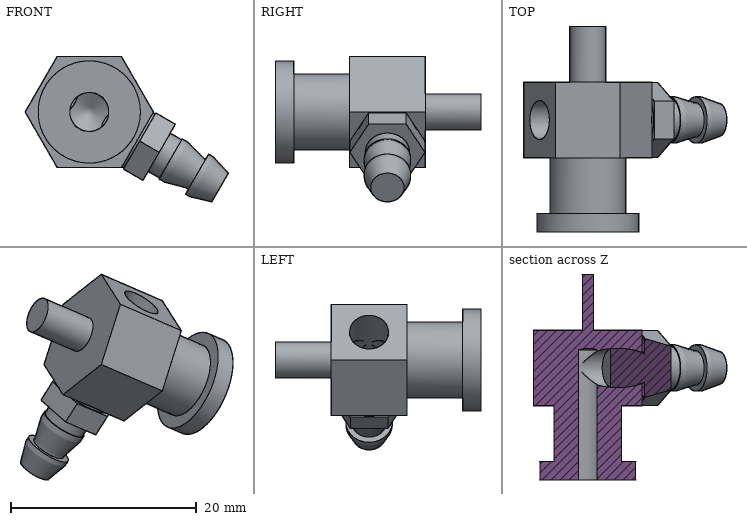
import cadquery as cq
import math

overall_length = 22.15
block_across_flats = 11.98
block_length = 8.17
neck_diameter = 8.2
neck_length = 5.98
flange_diameter = 11.0
flange_length = 2.0
stem_diameter = 3.9
stem_length = overall_length - flange_length - neck_length - block_length

hole_diameter = 4.19
bore_depth = 14.0
drill_point_angle = 118

fitting_angle = 30
seal_thickness = 0.27
seal_diameter = 6.73
stud_length = 3.0
fitting_across_flats = 7.0
fitting_hex_length = 2.44
shank_radius = 2.4
collar_radius = 2.5
waist_radius = 1.85
tip_radius = 1.8
shank_end = 4.12
collar_end = 4.83
cone_end = 7.2
barb_start = 7.4
barb_land_end = 8.0
fitting_end = 10.28

hole_radius = hole_diameter / 2
block_apothem = block_across_flats / 2
block_front = -block_length / 2
block_back = block_length / 2
neck_front = block_front - neck_length
flange_front = neck_front - flange_length


def across_corners(across_flats):
    return across_flats / math.cos(math.pi / 6)


def section_at(y):
    """Work plane whose normal is +Y, at the given Y."""
    return cq.Workplane(cq.Plane((0, y, 0), (1, 0, 0), (0, 1, 0)))


def cylinder_along_y(diameter, start, length):
    return section_at(start).circle(diameter / 2).extrude(length)


fitting_direction = cq.Vector(
    math.cos(math.radians(fitting_angle)), 0, -math.sin(math.radians(fitting_angle))
)


def fitting_section(distance):
    """Work plane across the fitting, at a distance outward from the block face."""
    origin = fitting_direction * (block_apothem + distance)
    return cq.Workplane(cq.Plane(origin, (0, 1, 0), fitting_direction))


def make_bore():
    """Blind bore from the flange, with a conical drill point."""
    point_length = hole_radius / math.tan(math.radians(drill_point_angle / 2))
    shoulder = flange_front + bore_depth
    profile = [
        (0, flange_front),
        (hole_radius, flange_front),
        (hole_radius, shoulder),
        (0, shoulder + point_length),
    ]
    return cq.Workplane("XY").polyline(profile).close().revolve(360, (0, 0), (0, 1))


def make_cross_hole():
    """Hole through two opposite flats, crossing the bore."""
    return fitting_section(0).circle(hole_radius).extrude(-block_across_flats)


def make_block():
    block = (
        section_at(block_front)
        .polygon(6, across_corners(block_across_flats))
        .extrude(block_length)
    )
    block = block.union(cylinder_along_y(neck_diameter, neck_front, neck_length))
    block = block.union(cylinder_along_y(flange_diameter, flange_front, flange_length))
    block = block.union(cylinder_along_y(stem_diameter, block_back, stem_length))
    return block.cut(make_bore()).cut(make_cross_hole())


def make_seal_ring():
    return (
        fitting_section(0)
        .circle(seal_diameter / 2)
        .circle(hole_radius)
        .extrude(seal_thickness)
    )


def make_fitting():
    """Stud, hexagon and two-stage hose barb."""
    hexagon = (
        fitting_section(seal_thickness)
        .polygon(6, across_corners(fitting_across_flats))
        .extrude(fitting_hex_length)
    )
    profile = [
        (0, -stud_length),
        (hole_radius, -stud_length),
        (hole_radius, seal_thickness),
        (shank_radius, seal_thickness),
        (shank_radius, shank_end),
        (collar_radius, shank_end),
        (collar_radius, collar_end),
        (waist_radius, cone_end),
        (waist_radius, barb_start),
        (collar_radius, barb_start),
        (collar_radius, barb_land_end),
        (tip_radius, fitting_end),
        (0, fitting_end),
    ]
    face_centre = fitting_direction * block_apothem
    profile_plane = cq.Plane(face_centre, (0, 1, 0), cq.Vector(0, 1, 0).cross(fitting_direction))
    turned = cq.Workplane(profile_plane).polyline(profile).close().revolve(360, (0, 0), (0, 1))
    return hexagon.union(turned)


block = make_block()
seal_ring = make_seal_ring()
fitting = make_fitting()

result = cq.Compound.makeCompound([block.val(), seal_ring.val(), fitting.val()])